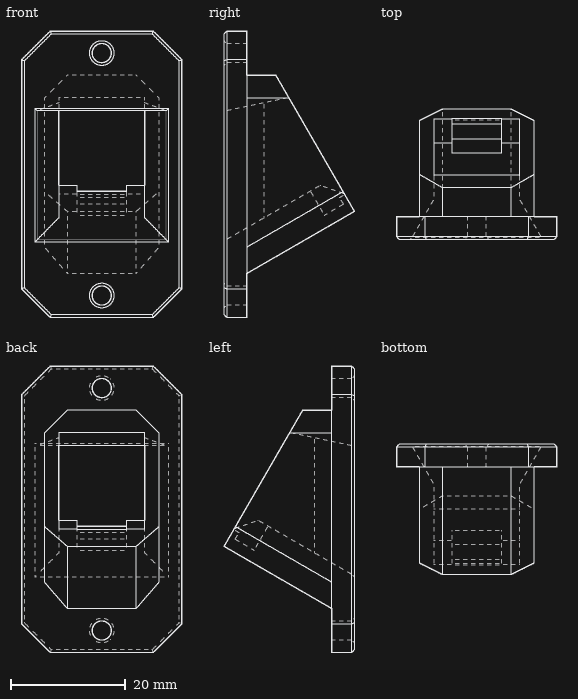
import cadquery as cq
import math

plate_width = 28
plate_height = 50
plate_thickness = 4
plate_corner = 5
edge_chamfer = 0.5

hole_diameter = 3.3
hole_offset = 21.15
countersink_depth = 0.5

tilt = 30
hood_width = 20
hood_corner = 4
hood_top = 17.3
hood_end = 16.5
hood_bottom = -17

opening_size = 22.5
opening_shift = -0.15
opening_chamfer = 0.4
passage_width = 15
flare_end = 7
exit_top = 5.95
exit_bottom = -13.45
ramp_start = 13.6

latch_width = 8.6
latch_start = 11.6
latch_bottom = -14.95
lip_bottom = -13.6
lip_thickness = 1.05

sin_tilt = math.sin(math.radians(tilt))
cos_tilt = math.cos(math.radians(tilt))


def tilted(along, across):
    """Convert tilted-frame coordinates to a (Y, Z) point."""
    return (along * cos_tilt - across * sin_tilt, along * sin_tilt + across * cos_tilt)


def side_prism(points, width):
    """Extrude a (Y, Z) outline symmetrically about X = 0."""
    return cq.Workplane("YZ").polyline(points).close().extrude(width / 2, both=True)


def make_plate():
    plate = cq.Workplane("XY").box(plate_width, plate_thickness, plate_height)
    plate = plate.translate((0, plate_thickness / 2, 0))
    return plate.edges("|Y").chamfer(plate_corner).faces("<Y").chamfer(edge_chamfer)


def make_hood():
    span = 2 * plate_height
    upper = cq.Workplane("XY").box(hood_width, span, span).edges("|Y and >Z").chamfer(hood_corner)
    upper = upper.translate((0, span / 2 + plate_thickness / 2, hood_top - span / 2))
    lower = cq.Workplane("XY").box(hood_width, span, span).edges("|Y and <Z").chamfer(hood_corner)
    lower = lower.translate((0, hood_end - span / 2, hood_bottom + span / 2))
    lower = lower.rotate((0, 0, 0), (1, 0, 0), tilt)
    return upper.intersect(lower)


def make_passage():
    half_opening = opening_size / 2
    half_passage = passage_width / 2
    opening_top = opening_shift + half_opening
    opening_bottom = opening_shift - half_opening
    floor_level = opening_bottom * cos_tilt - opening_chamfer * sin_tilt
    side_outline = [
        (0, opening_top),
        (opening_chamfer, opening_top),
        tilted(hood_end, exit_top),
        tilted(hood_end, exit_bottom),
        tilted(ramp_start, floor_level),
        (opening_chamfer, opening_bottom),
        (0, opening_bottom),
    ]
    passage = side_prism(side_outline, opening_size)
    far_end = plate_height
    plan_outline = [
        (-half_opening, 0),
        (-half_opening, opening_chamfer),
        (-half_passage, flare_end),
        (-half_passage, far_end),
        (half_passage, far_end),
        (half_passage, flare_end),
        (half_opening, opening_chamfer),
        (half_opening, 0),
    ]
    plan = cq.Workplane("XY").polyline(plan_outline).close().extrude(plate_height / 2, both=True)
    return passage.intersect(plan)


def make_opening_chamfer():
    outer_size = opening_size + 2 * opening_chamfer
    return (
        cq.Workplane("XZ", origin=(0, 0, opening_shift))
        .rect(outer_size, outer_size)
        .workplane(offset=-opening_chamfer)
        .rect(opening_size, opening_size)
        .loft(ruled=True)
    )


def make_latch_pocket():
    lip_start = hood_end - lip_thickness
    outline = [
        tilted(latch_start, 0),
        tilted(latch_start, latch_bottom),
        tilted(lip_start, latch_bottom),
        tilted(lip_start, lip_bottom),
        tilted(hood_end, lip_bottom),
        tilted(hood_end, 0),
    ]
    return side_prism(outline, latch_width)


def make_mounting_hole(height):
    radius = hole_diameter / 2
    outline = [
        (0, 0),
        (radius + countersink_depth, 0),
        (radius, countersink_depth),
        (radius, plate_thickness),
        (0, plate_thickness),
    ]
    hole = cq.Workplane("XY").polyline(outline).close().revolve(360, (0, 0, 0), (0, 1, 0))
    return hole.translate((0, 0, height))


result = make_plate().union(make_hood())
result = result.cut(make_passage()).cut(make_opening_chamfer()).cut(make_latch_pocket())
for height in (-hole_offset, hole_offset):
    result = result.cut(make_mounting_hole(height))